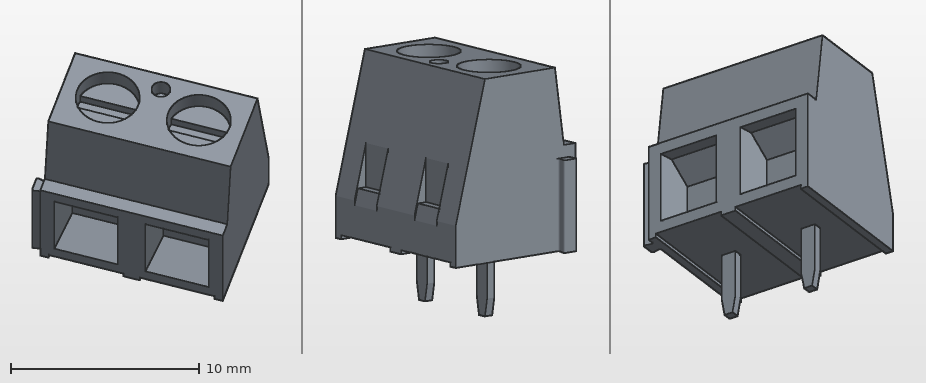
import cadquery as cq


pitch = 5.08
width = 10.17
depth = 8.2
height = 10.0
front_y = -depth / 2
back_y = depth / 2
ledge_depth = 0.8
ledge_z = 5.72
top_front_setback = 1.4
top_back_setback = 2.0
top_front_y = front_y + top_front_setback
top_back_y = back_y - top_back_setback
back_wall_height = 2.3
pole_xs = [-pitch / 2, pitch / 2]

channel_height = 0.23
foot_width = 0.46
channel_width = pitch - 2 * foot_width

well_diameter = 3.4
well_depth = 1.0
well_y = -0.23
slot_width = 0.78
slot_depth = 0.5

hole_diameter = 1.0
hole_depth = 1.0
hole_y = 1.13

entry_width = 3.52
entry_bottom_z = 0.92
entry_top_z = 5.04
entry_depth = 1.97
entry_end_width = 2.75
entry_end_bottom_z = 1.73
entry_end_top_z = 3.85
entry_flat_roof = 0.8

notch_width = 1.88
notch_depth = 0.78
notch_floor_gap = 0.23
notch_sink = 0.25

rail_length = 0.6
rail_tip_width = 0.92
rail_root_width = 0.65
rail_height = entry_top_z
rail_y = -3.3
rail_radius = 0.1
edge_margin = 0.01

pin_width = 0.88
pin_thickness = 0.5
pin_length = 3.5
pin_tip_width = 0.51
pin_tip_length = 1.0


def make_block():
    """Side outline of the housing, extruded across its width."""
    outline = [
        (front_y, 0),
        (front_y, ledge_z),
        (front_y + ledge_depth, ledge_z),
        (top_front_y, height),
        (top_back_y, height),
        (back_y, back_wall_height),
        (back_y, 0),
    ]
    return cq.Workplane("YZ").polyline(outline).close().extrude(width / 2, both=True)


def make_rail():
    """Sharp dovetail, standing on the left side of the housing."""
    tip_x = -rail_length
    outline = [
        (0, -rail_root_width / 2),
        (tip_x, -rail_tip_width / 2),
        (tip_x, rail_tip_width / 2),
        (0, rail_root_width / 2),
    ]
    rail = cq.Workplane("XY").polyline(outline).close().extrude(rail_height)
    return rail.translate((-width / 2, rail_y, 0))


def round_rail(housing):
    """Round the upright edges at the rail's tip and at its root."""
    side_x = -width / 2
    reach = rail_tip_width / 2 + edge_margin
    around_rail = cq.selectors.BoxSelector(
        (side_x - rail_length - edge_margin, rail_y - reach, -edge_margin),
        (side_x + edge_margin, rail_y + reach, rail_height + edge_margin),
    )
    return housing.edges(around_rail).edges("|Z").fillet(rail_radius)


def make_channel(x):
    """Channel across the underside, below one pole."""
    channel = cq.Workplane("XY").box(channel_width, depth, channel_height, centered=(True, True, False))
    return channel.translate((x, 0, 0))


def make_well(x):
    """Round well, with a slot sunk across its floor."""
    floor = cq.Workplane("XY", origin=(x, well_y, height - well_depth))
    well = floor.circle(well_diameter / 2).extrude(well_depth)
    slot = floor.rect(well_diameter, slot_width).extrude(-slot_depth)
    slot_ends = floor.circle(well_diameter / 2).extrude(-slot_depth)
    return well.union(slot.intersect(slot_ends))


def make_hole():
    """Blind hole in the top, between the wells."""
    hole = cq.Workplane("XY", origin=(0, hole_y, height)).circle(hole_diameter / 2)
    return hole.extrude(-hole_depth)


def make_entry(x):
    """Common part of a side outline and a plan outline that both narrow inwards."""
    end_y = front_y + entry_depth
    side_outline = [
        (front_y, entry_bottom_z),
        (end_y, entry_end_bottom_z),
        (end_y, entry_end_top_z),
        (front_y + entry_flat_roof, entry_top_z),
        (front_y, entry_top_z),
    ]
    plan_outline = [
        (-entry_width / 2, front_y),
        (entry_width / 2, front_y),
        (entry_end_width / 2, end_y),
        (-entry_end_width / 2, end_y),
    ]
    side = cq.Workplane("YZ").polyline(side_outline).close().extrude(entry_width / 2, both=True)
    plan = cq.Workplane("XY").polyline(plan_outline).close().extrude(height)
    return side.intersect(plan).translate((x, 0, 0))


def make_notch(x):
    """Upright face, level floor, then a face parallel to the sloping back."""
    slope = (height - back_wall_height) / top_back_setback
    face_y = back_y - notch_depth
    floor_end_y = back_y - notch_floor_gap
    base_z = back_wall_height - notch_sink
    floor_z = base_z + slope * notch_floor_gap
    outline = [
        (face_y, height),
        (face_y, floor_z),
        (floor_end_y, floor_z),
        (back_y, base_z),
        (back_y, height),
    ]
    notch = cq.Workplane("YZ").polyline(outline).close().extrude(notch_width / 2, both=True)
    return notch.translate((x, 0, 0))


def make_housing():
    """Block with its rail, less the openings of each pole and the small hole."""
    housing = round_rail(make_block().union(make_rail()))
    for x in pole_xs:
        housing = housing.cut(make_channel(x))
        housing = housing.cut(make_well(x))
        housing = housing.cut(make_entry(x))
        housing = housing.cut(make_notch(x))
    return housing.cut(make_hole())


def make_pin(x):
    """Flat pin with a tapered tip, standing against the roof of its channel."""
    outline = [
        (-pin_width / 2, channel_height),
        (-pin_width / 2, pin_tip_length - pin_length),
        (-pin_tip_width / 2, -pin_length),
        (pin_tip_width / 2, -pin_length),
        (pin_width / 2, pin_tip_length - pin_length),
        (pin_width / 2, channel_height),
    ]
    pin = cq.Workplane("XZ").polyline(outline).close().extrude(pin_thickness / 2, both=True)
    return pin.translate((x, 0, 0))


housing = make_housing()
pins = [make_pin(x) for x in pole_xs]

result = cq.Compound.makeCompound([housing.val(), *[pin.val() for pin in pins]])